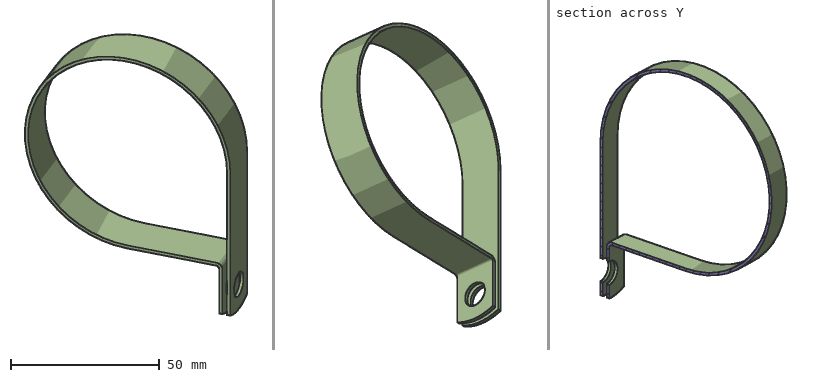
import cadquery as cq
import math

height = 94.0
outer_diameter = 73.9
width = 15.9
thickness = 1.2

leg_gap = 1.6
bend_outer_radius = 2.3
hole_diameter = 8.7
hole_height = 9.6
tip_radius = 19.3

outer_radius = outer_diameter / 2
inner_radius = outer_radius - thickness
bend_inner_radius = bend_outer_radius - thickness
tip_z = outer_radius - height
inner_leg_right = inner_radius - leg_gap
inner_leg_left = inner_leg_right - thickness
bend_x = inner_leg_right - bend_outer_radius
bend_z = -outer_radius + thickness - bend_outer_radius


def make_strap():
    """Loop of flat strip: long leg, three-quarter circle, flat floor, bend and short leg."""
    diagonal = math.sqrt(0.5)
    profile = (
        cq.Workplane("XZ")
        .moveTo(outer_radius, tip_z)
        .lineTo(outer_radius, 0)
        .threePointArc((-outer_radius * diagonal, outer_radius * diagonal), (0, -outer_radius))
        .lineTo(bend_x, -outer_radius)
        .threePointArc(
            (bend_x + bend_inner_radius * diagonal, bend_z + bend_inner_radius * diagonal),
            (inner_leg_left, bend_z),
        )
        .lineTo(inner_leg_left, tip_z)
        .lineTo(inner_leg_right, tip_z)
        .lineTo(inner_leg_right, bend_z)
        .threePointArc(
            (bend_x + bend_outer_radius * diagonal, bend_z + bend_outer_radius * diagonal),
            (bend_x, -inner_radius),
        )
        .lineTo(0, -inner_radius)
        .threePointArc((-inner_radius * diagonal, inner_radius * diagonal), (inner_radius, 0))
        .lineTo(inner_radius, tip_z)
        .close()
    )
    return profile.extrude(width / 2, both=True)


def make_side_outline():
    """Block spanning the strap in X whose lower end is the rounded leg tip."""
    half_width = width / 2
    tip_rise = tip_radius - math.sqrt(tip_radius**2 - half_width**2)
    return (
        cq.Workplane("YZ")
        .moveTo(-half_width, outer_radius)
        .lineTo(-half_width, tip_z + tip_rise)
        .threePointArc((0, tip_z), (half_width, tip_z + tip_rise))
        .lineTo(half_width, outer_radius)
        .close()
        .extrude(outer_radius, both=True)
    )


def make_bolt_hole():
    """Cylinder along X through both legs."""
    return (
        cq.Workplane("YZ")
        .center(0, tip_z + hole_height)
        .circle(hole_diameter / 2)
        .extrude(outer_diameter)
    )


result = make_strap().intersect(make_side_outline()).cut(make_bolt_hole())